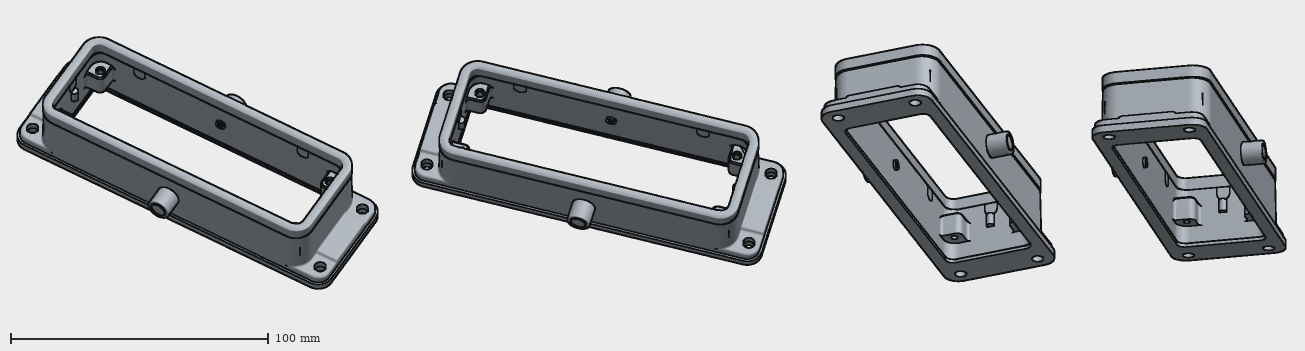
import cadquery as cq
import math

length = 141.0
gasket_width = 45.7
gasket_height = 3.0
gasket_corner = 5.9
gasket_opening_length = 112.1
gasket_opening_width = 35.4
gasket_opening_corner = 3.1
joint_z = 23.8
total_height = 29.3

flange_inset = 1.0
flange_z = 5.9
pad_rise = 0.8
pad_step_y = 11.0
pad_step_run = 1.7
flange_round = 0.8
screw_hole = 4.5
screw_x = 65.0
screw_y = 16.1

wall_length = 120.8
wall_corner = 7.5
wall_root_round = 0.7
wall_top_round = 0.4
draft = 1.0
opening_length = 112.5
opening_width = 35.8
opening_corner = 4.8
opening_draft_z = 18.5
skirt_z = 1.5
skirt_thickness = 2.0

boss_x = 48.9
boss_y = 9.9
boss_embed = 1.7
boss_round = 2.4
boss_root_round = 1.1
boss_top = 18.2
boss_height = 9.5
boss_edge = 0.5
boss_hole_x = 51.9
boss_hole_y = 13.5
boss_hole = 2.5
boss_counterbore = 3.7
boss_counterbore_depth = 1.4

rib_radius = 1.5
rib_x = 55.7
rib_height = 5.0

rim_length = 120.4
rim_width = 43.1
rim_corner = 7.2
rim_thickness = 3.8
rim_crown = 0.4
rim_edge = 0.35
tongue_width = 5.1
tongue_height = 5.4
tongue_depth = 1.7
tongue_x = 37.0

pin_z = 14.2
pin_tip_y = 30.0
sleeve_diameter = 9.2
sleeve_root_y = 21.7
sleeve_edge = 0.4
rivet_diameter = 6.5
rivet_end_edge = 0.35
shank_diameter = 4.0
shank_end_y = 17.0
shank_hole = 1.8
shank_hole_depth = 0.7

selection_margin = 0.1

flange_length = length - 2 * flange_inset
flange_width = gasket_width - 2 * flange_inset
flange_corner = gasket_corner - flange_inset
pad_z = flange_z + pad_rise
wall_height = joint_z - gasket_height
wall_x = wall_length / 2
wall_y = flange_width / 2
opening_x = opening_length / 2
opening_y = opening_width / 2
skirt_length = opening_length + 2 * skirt_thickness
skirt_width = opening_width + 2 * skirt_thickness
skirt_corner = opening_corner + skirt_thickness
boss_bottom = boss_top - boss_height
sides = (-1, 1)
corners = [(side_x, side_y) for side_x in sides for side_y in sides]


def rounded_block(size_x, size_y, corner, z, height, taper=0):
    """Upright block with rounded corners, centred on the Z axis."""
    block = cq.Workplane("XY", origin=(0, 0, z)).rect(size_x, size_y).extrude(height, taper=taper)
    return block.edges("not(#Z)").fillet(corner)


def upright_cylinders(diameter, x, y, z, height):
    """Four cylinders placed symmetrically about both axes."""
    centres = cq.Workplane("XY", origin=(0, 0, z)).rect(2 * x, 2 * y, forConstruction=True).vertices()
    return centres.circle(diameter / 2).extrude(height)


def pin_cylinder(diameter, y_from, y_to):
    """Cylinder along +Y at the pin height."""
    start = cq.Plane((0, y_from, pin_z), (1, 0, 0), (0, 1, 0))
    return cq.Workplane(start).circle(diameter / 2).extrude(y_to - y_from)


def on_side(part, side_y):
    """The part as built on the +Y side, or its mirror image on the -Y side."""
    return part if side_y > 0 else part.mirror("XZ")


def edges_in_boxes(part, boxes):
    """Edges whose middle lies in any box, given as (x range, y range, z range)."""
    selector = cq.selectors.BoxSelector(*zip(*boxes[0]))
    for box in boxes[1:]:
        selector += cq.selectors.BoxSelector(*zip(*box))
    return part.edges(selector)


def around(value, margin):
    return (value - margin, value + margin)


def make_gasket():
    opening = rounded_block(
        gasket_opening_length, gasket_opening_width, gasket_opening_corner, 0, gasket_height
    )
    screw_holes = upright_cylinders(screw_hole, screw_x, screw_y, 0, gasket_height)
    gasket = rounded_block(length, gasket_width, gasket_corner, 0, gasket_height)
    return gasket.cut(opening).cut(make_skirt()).cut(screw_holes)


def make_skirt():
    """Block filling the recess in the gasket; the housing keeps only its rim."""
    return rounded_block(skirt_length, skirt_width, skirt_corner, skirt_z, gasket_height - skirt_z)


def flange_section():
    """Flange section across Y: S-shaped slopes join the raised pad to the screw lands."""
    inner_y = pad_step_y - pad_step_run / 2
    outer_y = pad_step_y + pad_step_run / 2
    mid_z = flange_z + pad_rise / 2
    return (
        cq.Workplane("YZ", origin=(-length / 2, 0, 0))
        .moveTo(-gasket_width, 0)
        .lineTo(-gasket_width, flange_z)
        .lineTo(-outer_y, flange_z)
        .tangentArcPoint((-pad_step_y, mid_z), relative=False)
        .tangentArcPoint((-inner_y, pad_z), relative=False)
        .lineTo(inner_y, pad_z)
        .tangentArcPoint((pad_step_y, mid_z), relative=False)
        .tangentArcPoint((outer_y, flange_z), relative=False)
        .lineTo(gasket_width, flange_z)
        .lineTo(gasket_width, 0)
        .close()
        .extrude(length)
    )


def make_flange():
    """Flange with a rounded top edge; its long sides lie in the drafted wall planes."""
    block = rounded_block(flange_length, flange_width, flange_corner, gasket_height, wall_height, draft)
    flange = block.intersect(flange_section())
    top_z = (flange_z - selection_margin, pad_z + selection_margin)
    all_y = (-gasket_width, gasket_width)
    rim = []
    for side in sides:
        rim.append((sorted((side * wall_x, side * length)), all_y, top_z))
        rim.append((around(0, selection_margin), around(side * wall_y, 2 * flange_inset), top_z))
    return edges_in_boxes(flange, rim).fillet(flange_round)


def make_outer_body():
    wall = rounded_block(wall_length, flange_width, wall_corner, gasket_height, wall_height, draft)
    body = make_flange().union(wall)
    root_y = wall_y - 2 * flange_round
    root_z = (flange_z - selection_margin, pad_z + selection_margin)
    root = []
    for side in sides:
        end_x = sorted((side * (wall_x - wall_corner), side * wall_x))
        root.append((end_x, (-root_y, root_y), root_z))
    body = edges_in_boxes(body, root).fillet(wall_root_round)
    return body.faces(">Z").edges().fillet(wall_top_round)


def make_opening():
    """Opening with a straight upper part and a lower part that widens downwards."""
    upper_height = joint_z - opening_draft_z
    lower_height = opening_draft_z - skirt_z
    flare = 2 * lower_height * math.tan(math.radians(draft))
    upper = rounded_block(opening_length, opening_width, opening_corner, opening_draft_z, upper_height)
    lower = rounded_block(
        opening_length + flare, opening_width + flare, opening_corner, skirt_z, lower_height, draft
    )
    return upper.union(lower)


def make_boss(side_x, side_y):
    size_x = opening_x + boss_embed - boss_x
    size_y = opening_y + boss_embed - boss_y
    centre = (side_x * (boss_x + size_x / 2), side_y * (boss_y + size_y / 2), boss_bottom)
    boss = cq.Workplane("XY", origin=centre).rect(size_x, size_y).extrude(boss_height)
    free_edge = boss.edges("|Z").edges("<X" if side_x > 0 else ">X").edges("<Y" if side_y > 0 else ">Y")
    return free_edge.fillet(boss_round).faces(">Z").edges().chamfer(boss_edge)


def add_bosses(housing):
    root_z = around((boss_bottom + boss_top) / 2, 1.4)
    roots = []
    for side_x, side_y in corners:
        housing = housing.union(make_boss(side_x, side_y))
        for x, y in ((opening_x, boss_y), (boss_x, opening_y)):
            roots.append((around(side_x * x, boss_edge), around(side_y * y, boss_edge), root_z))
    housing = edges_in_boxes(housing, roots).fillet(boss_root_round)
    counterbore_z = boss_top - boss_counterbore_depth
    holes = upright_cylinders(boss_hole, boss_hole_x, boss_hole_y, boss_bottom, boss_height)
    counterbores = upright_cylinders(
        boss_counterbore, boss_hole_x, boss_hole_y, counterbore_z, boss_counterbore_depth
    )
    return housing.cut(holes).cut(counterbores)


def make_rib(side_x):
    foot = (side_x * rib_x, 0, boss_top - rib_height)
    return cq.Workplane("XY", origin=foot).circle(rib_radius).extrude(rib_height)


def make_housing():
    housing = make_outer_body().union(make_skirt()).cut(make_opening())
    housing = add_bosses(housing)
    for side_x in sides:
        housing = housing.union(make_rib(side_x))
    housing = housing.cut(upright_cylinders(screw_hole, screw_x, screw_y, gasket_height, wall_height))
    for tongue in make_tongues():
        housing = housing.cut(tongue)
    sleeve_seat = pin_cylinder(sleeve_diameter, sleeve_root_y, pin_tip_y)
    shank_hole_in_wall = pin_cylinder(shank_diameter, shank_end_y, sleeve_root_y)
    for side_y in sides:
        housing = housing.cut(on_side(sleeve_seat, side_y)).cut(on_side(shank_hole_in_wall, side_y))
    return housing


def make_rim():
    """Constant domed section swept around a rounded rectangle."""
    outer_x = rim_length / 2
    outer_y = rim_width / 2
    inner_y = outer_y - rim_thickness
    end_x = outer_x - rim_corner
    end_y = outer_y - rim_corner
    edge_z = total_height - rim_crown
    path = (
        cq.Workplane("XY", origin=(0, 0, joint_z))
        .moveTo(0, outer_y)
        .lineTo(end_x, outer_y)
        .tangentArcPoint((outer_x, end_y), relative=False)
        .lineTo(outer_x, -end_y)
        .tangentArcPoint((end_x, -outer_y), relative=False)
        .lineTo(-end_x, -outer_y)
        .tangentArcPoint((-outer_x, -end_y), relative=False)
        .lineTo(-outer_x, end_y)
        .tangentArcPoint((-end_x, outer_y), relative=False)
        .close()
    )
    section = (
        cq.Workplane("YZ")
        .moveTo(inner_y, joint_z)
        .lineTo(inner_y, edge_z)
        .threePointArc(((inner_y + outer_y) / 2, total_height), (outer_y, edge_z))
        .lineTo(outer_y, joint_z + rim_edge)
        .lineTo(outer_y - rim_edge, joint_z)
        .close()
    )
    crown_edges = ((-length, length), (-length, length), around(edge_z, rim_edge / 2))
    return edges_in_boxes(section.sweep(path), [crown_edges]).fillet(rim_edge)


def make_tongue(x, y, angle):
    """Slab hanging below the joint with a half-round end, flush with the opening wall."""
    radius = tongue_width / 2
    tip_z = joint_z - tongue_height
    return (
        cq.Workplane("XZ")
        .moveTo(-radius, joint_z)
        .lineTo(-radius, tip_z + radius)
        .threePointArc((0, tip_z), (radius, tip_z + radius))
        .lineTo(radius, joint_z)
        .close()
        .extrude(-tongue_depth)
        .rotate((0, 0, 0), (0, 0, 1), angle)
        .translate((x, y, 0))
    )


def make_tongues():
    tongues = [make_tongue(opening_x, 0, -90), make_tongue(-opening_x, 0, 90)]
    for side_x in sides:
        tongues.append(make_tongue(side_x * tongue_x, opening_y, 0))
        tongues.append(make_tongue(side_x * tongue_x, -opening_y, 180))
    return tongues


def make_seal():
    seal = make_rim()
    for tongue in make_tongues():
        seal = seal.union(tongue)
    return seal


def make_sleeve():
    sleeve = pin_cylinder(sleeve_diameter, sleeve_root_y, pin_tip_y).edges().fillet(sleeve_edge)
    return sleeve.cut(pin_cylinder(rivet_diameter, sleeve_root_y, pin_tip_y))


def make_rivet():
    rivet = pin_cylinder(rivet_diameter, sleeve_root_y, pin_tip_y)
    rivet = rivet.faces(">Y").edges().chamfer(rivet_end_edge)
    rivet = rivet.union(pin_cylinder(shank_diameter, shank_end_y, sleeve_root_y))
    return rivet.cut(pin_cylinder(shank_hole, shank_end_y, shank_end_y + shank_hole_depth))


gasket = make_gasket()
housing = make_housing()
seal = make_seal()
sleeves = [on_side(make_sleeve(), side_y).val() for side_y in sides]
rivets = [on_side(make_rivet(), side_y).val() for side_y in sides]

result = cq.Compound.makeCompound([gasket.val(), housing.val(), seal.val(), *sleeves, *rivets])